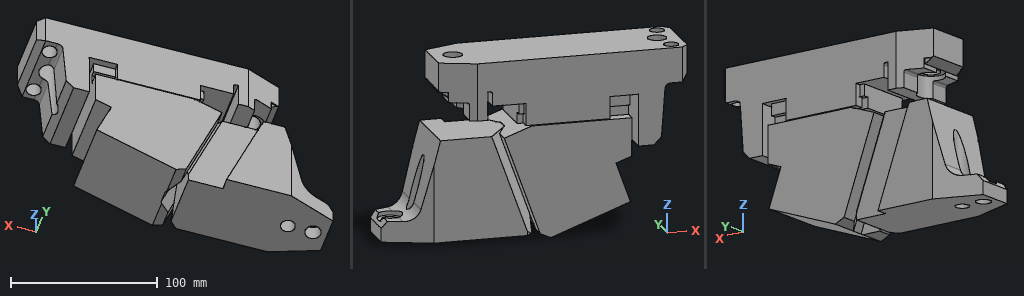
import cadquery as cq
import math

WIDTH = 52.0
HALF_WIDTH = WIDTH / 2
CAM_ANGLE = 20.0
SIN_CAM = math.sin(math.radians(CAM_ANGLE))
COS_CAM = math.cos(math.radians(CAM_ANGLE))
TAN_CAM = SIN_CAM / COS_CAM
CORNER_CHAMFER = 5.0

BASE_TOP = 72.5
BASE_LENGTH = 105.0
TOE_HEIGHT = 15.0
TOE_CHAMFER_X = 4.0
TOE_CHAMFER_Z = 5.0
TOE_SLOPE_ANGLE = 75.0
TOE_SLOPE_TOP_X = 38.5
TOE_FILLET = 12.0
BASE_NOSE_LENGTH = 34.0
SCREW_X = 10.0
SCREW_RADIUS = 5.5
SCREW_HEAD_RADIUS = 8.7
SCREW_HEAD_FLOOR = 12.1
DOWEL_X = 28.0
DOWEL_RADIUS = 5.0
DOWEL_RELIEF_RADIUS = 6.0
NOTCH_X = 54.0
NOTCH_DEPTH = 8.5

GUIDE_ANGLE = 33.5
GUIDE_FLAT_HALF = 4.3
GUIDE_EDGE_X = 74.8
GUIDE_REACH = 200.0

SLIDER_TIP_X = 83.7
SLIDER_TIP_Z = 70.6
SLIDER_TOP = 77.7
SLIDER_BACK_X = 174.2
SLIDER_BACK_FOOT = 50.3
HOOK_DEPTH = 11.8
HOOK_HEIGHT = 30.0
SLIDER_FACE_LENGTH = 80.4
SLIDER_CHAMFER = 5.8

TONGUE_FRONT_X = 95.3
STEM_HALF = 17.6
HEAD_HALF = 21.6
HEAD_BOTTOM = 85.5

PLATE_TOP = 125.0
PLATE_FRONT_X = 39.8
PLATE_BACK_X = 215.0
PLATE_NOSE_LENGTH = 25.0
PLATE_EDGE_Z = 105.0
ROOF_Z = 94.0
RAIL_FRONT_X = 99.1
RAIL_BACK_X = 158.7
RAIL_BOTTOM = 78.3
RAIL_INNER_HALF = 19.1
BEVEL_X = 46.1
BEVEL_Z = 100.2
BEVEL_FRONT_HALF = 16.8
BEVEL_BACK_HALF = 18.0
BEVEL_SIDE_Z = 104.1
LIP_BOTTOM = 97.0
FRONT_LEG_X = 59.7
FRONT_LEG_BACK_X = 72.0
FRONT_LEG_BOTTOM = 84.3
RELIEF_SLOT_X = 75.3
RELIEF_SLOT_TOP = 104.3
LIP_FILLET = 1.7
SLOT_FILLET = 1.5
REAR_LEG_X = 178.8
REAR_LEG_BOTTOM = 57.0
REAR_LEG_TOE_X = 190.0
REAR_LEG_HEEL_X = 195.3
REAR_LEG_HEEL_Z = 62.5
REAR_LEG_ROOT_X = 198.0
REAR_SHELF_Z = 100.0
REAR_LEG_FILLET = 4.0
PIN_RADIUS = 6.6
FRONT_PIN_X = 54.7
FRONT_PIN_BORE = 10.0
FRONT_PIN_BORE_TOP = BEVEL_Z
REAR_PIN_X = 199.5
BOLT_X = 204.5
BOLT_Y = 17.5
BOLT_RADIUS = 5.1


def extrude_profile(points):
    return cq.Workplane("XZ").polyline(points).close().extrude(HALF_WIDTH, both=True)


def box(x0, x1, y0, y1, z0, z1):
    return cq.Workplane("XY").box(x1 - x0, y1 - y0, z1 - z0, centered=False).translate((x0, y0, z0))


def cylinder(x, y, radius, z0, z1):
    return cq.Workplane("XY", origin=(x, y, z0)).circle(radius).extrude(z1 - z0)


def plan_prism(front_x, nose_length, back_x, z0, z1):
    """Block with a tapered nose at the front and chamfered corners at the back."""
    nose_half = HALF_WIDTH - nose_length * TAN_CAM
    shoulder_x = front_x + nose_length
    half = [
        (front_x, nose_half),
        (shoulder_x, HALF_WIDTH),
        (back_x - CORNER_CHAMFER, HALF_WIDTH),
        (back_x, HALF_WIDTH - CORNER_CHAMFER),
    ]
    outline = half + [(x, -y) for x, y in reversed(half)]
    return cq.Workplane("XY", origin=(0, 0, z0)).polyline(outline).close().extrude(z1 - z0)


def face_x(z):
    """X of the slider's cam face at height z."""
    return SLIDER_TIP_X + (SLIDER_TIP_Z - z) * TAN_CAM


def guide_prism():
    """Everything in front of the V guide surface, as a prism along the cam slope."""
    rise = math.tan(math.radians(GUIDE_ANGLE))
    edge = (GUIDE_EDGE_X - face_x(BASE_TOP)) * COS_CAM
    crest = edge + (HALF_WIDTH - GUIDE_FLAT_HALF) * rise
    half = [(-GUIDE_REACH, HALF_WIDTH), (edge, HALF_WIDTH), (crest, GUIDE_FLAT_HALF)]
    outline = half + [(d, -y) for d, y in reversed(half)]
    plane = cq.Plane(
        origin=(SLIDER_TIP_X, 0, SLIDER_TIP_Z),
        xDir=(COS_CAM, 0, SIN_CAM),
        normal=(-SIN_CAM, 0, COS_CAM),
    )
    return cq.Workplane(plane).polyline(outline).close().extrude(GUIDE_REACH, both=True)


def make_base():
    slope_run = (BASE_TOP - TOE_HEIGHT) / math.tan(math.radians(TOE_SLOPE_ANGLE))
    slope_foot_x = TOE_SLOPE_TOP_X - slope_run
    profile = extrude_profile([
        (0, 0),
        (0, TOE_HEIGHT - TOE_CHAMFER_Z),
        (TOE_CHAMFER_X, TOE_HEIGHT),
        (slope_foot_x, TOE_HEIGHT),
        (TOE_SLOPE_TOP_X, BASE_TOP),
        (BASE_LENGTH, BASE_TOP),
        (BASE_LENGTH, 0),
    ])
    foot_edge = cq.selectors.NearestToPointSelector((slope_foot_x, 0, TOE_HEIGHT))
    body = profile.edges("|Y").edges(foot_edge).fillet(TOE_FILLET)
    body = body.intersect(plan_prism(0, BASE_NOSE_LENGTH, BASE_LENGTH, 0, BASE_TOP))
    body = body.intersect(guide_prism())

    notch = extrude_profile([
        (NOTCH_X, BASE_TOP),
        (NOTCH_X + BASE_TOP * TAN_CAM, 0),
        (2 * BASE_LENGTH, 0),
        (2 * BASE_LENGTH, BASE_TOP),
    ])
    notch = notch.translate((0, WIDTH - NOTCH_DEPTH, 0))
    body = body.cut(notch)

    body = body.cut(cylinder(SCREW_X, 0, SCREW_RADIUS, 0, BASE_TOP))
    body = body.cut(cylinder(SCREW_X, 0, SCREW_HEAD_RADIUS, SCREW_HEAD_FLOOR, BASE_TOP))
    body = body.cut(cylinder(DOWEL_X, 0, DOWEL_RADIUS, 0, BASE_TOP))
    return body.cut(cylinder(DOWEL_X, 0, DOWEL_RELIEF_RADIUS, TOE_HEIGHT, BASE_TOP))


def make_slider():
    face_foot = (
        SLIDER_TIP_X + SLIDER_FACE_LENGTH * SIN_CAM,
        SLIDER_TIP_Z - SLIDER_FACE_LENGTH * COS_CAM,
    )
    hook_inner = (SLIDER_BACK_X - HOOK_DEPTH * COS_CAM, SLIDER_BACK_FOOT - HOOK_DEPTH * SIN_CAM)
    hook_foot = (hook_inner[0] + HOOK_HEIGHT * SIN_CAM, hook_inner[1] - HOOK_HEIGHT * COS_CAM)
    body = extrude_profile([
        (SLIDER_TIP_X, SLIDER_TIP_Z),
        (SLIDER_TIP_X + (SLIDER_TOP - SLIDER_TIP_Z) / TAN_CAM, SLIDER_TOP),
        (SLIDER_BACK_X, SLIDER_TOP),
        (SLIDER_BACK_X, SLIDER_BACK_FOOT),
        hook_inner,
        hook_foot,
        (face_foot[0] + SLIDER_CHAMFER * COS_CAM, face_foot[1] + SLIDER_CHAMFER * SIN_CAM),
        (face_foot[0] - SLIDER_CHAMFER * SIN_CAM, face_foot[1] + SLIDER_CHAMFER * COS_CAM),
    ])
    body = body.cut(guide_prism())
    stem = box(TONGUE_FRONT_X, SLIDER_BACK_X, -STEM_HALF, STEM_HALF, SLIDER_TOP, ROOF_Z)
    head = box(TONGUE_FRONT_X, SLIDER_BACK_X, -HEAD_HALF, HEAD_HALF, HEAD_BOTTOM, ROOF_Z)
    return body.union(stem).union(head)


def make_plate():
    body = extrude_profile([
        (PLATE_FRONT_X, PLATE_TOP),
        (PLATE_FRONT_X, PLATE_EDGE_Z),
        (BEVEL_X, BEVEL_Z),
        (BEVEL_X, LIP_BOTTOM),
        (FRONT_LEG_X, LIP_BOTTOM),
        (FRONT_LEG_X, FRONT_LEG_BOTTOM),
        (FRONT_LEG_BACK_X, FRONT_LEG_BOTTOM),
        (FRONT_LEG_BACK_X, RELIEF_SLOT_TOP),
        (RELIEF_SLOT_X, RELIEF_SLOT_TOP),
        (RELIEF_SLOT_X, ROOF_Z),
        (RAIL_FRONT_X, ROOF_Z),
        (RAIL_FRONT_X, RAIL_BOTTOM),
        (RAIL_BACK_X, RAIL_BOTTOM),
        (RAIL_BACK_X, ROOF_Z),
        (REAR_LEG_X, ROOF_Z),
        (REAR_LEG_X, REAR_LEG_BOTTOM),
        (REAR_LEG_TOE_X, REAR_LEG_BOTTOM),
        (REAR_LEG_HEEL_X, REAR_LEG_HEEL_Z),
        (REAR_LEG_ROOT_X, REAR_SHELF_Z),
        (PLATE_BACK_X - CORNER_CHAMFER, REAR_SHELF_Z),
        (PLATE_BACK_X, PLATE_EDGE_Z),
        (PLATE_BACK_X, PLATE_TOP),
    ])
    fillets = [
        ((FRONT_LEG_X, LIP_BOTTOM), LIP_FILLET),
        ((RELIEF_SLOT_X, RELIEF_SLOT_TOP), SLOT_FILLET),
        ((REAR_LEG_ROOT_X, REAR_SHELF_Z), REAR_LEG_FILLET),
    ]
    for (x, z), radius in fillets:
        corner = cq.selectors.NearestToPointSelector((x, 0, z))
        body = body.edges("|Y").edges(corner).fillet(radius)
    body = body.intersect(
        plan_prism(PLATE_FRONT_X, PLATE_NOSE_LENGTH, PLATE_BACK_X, REAR_LEG_BOTTOM, PLATE_TOP)
    )

    recess_plan = [
        (PLATE_FRONT_X, BEVEL_FRONT_HALF),
        (BEVEL_X, BEVEL_BACK_HALF),
        (BEVEL_X, HALF_WIDTH),
        (PLATE_FRONT_X, HALF_WIDTH),
    ]
    recess_height = BEVEL_SIDE_Z - LIP_BOTTOM
    recess = cq.Workplane("XY").polyline(recess_plan).close().extrude(recess_height)
    recess = recess.translate((0, 0, LIP_BOTTOM))
    body = body.cut(recess).cut(recess.mirror("XZ"))

    slot = (RAIL_FRONT_X, RAIL_BACK_X)
    body = body.cut(box(*slot, -RAIL_INNER_HALF, RAIL_INNER_HALF, RAIL_BOTTOM, ROOF_Z))
    body = body.cut(box(*slot, -HEAD_HALF, HEAD_HALF, HEAD_BOTTOM, ROOF_Z))

    body = body.cut(cylinder(FRONT_PIN_X, 0, PIN_RADIUS, FRONT_LEG_BOTTOM, PLATE_TOP))
    body = body.cut(cylinder(FRONT_PIN_X, 0, FRONT_PIN_BORE, FRONT_LEG_BOTTOM, FRONT_PIN_BORE_TOP))
    body = body.cut(cylinder(REAR_PIN_X, 0, PIN_RADIUS, REAR_LEG_BOTTOM, PLATE_TOP))
    for y in (-BOLT_Y, BOLT_Y):
        body = body.cut(cylinder(BOLT_X, y, BOLT_RADIUS, REAR_LEG_BOTTOM, PLATE_TOP))
    return body


base = make_base()
slider = make_slider()
plate = make_plate()
result = cq.Compound.makeCompound([base.solids().val(), slider.solids().val(), plate.solids().val()])